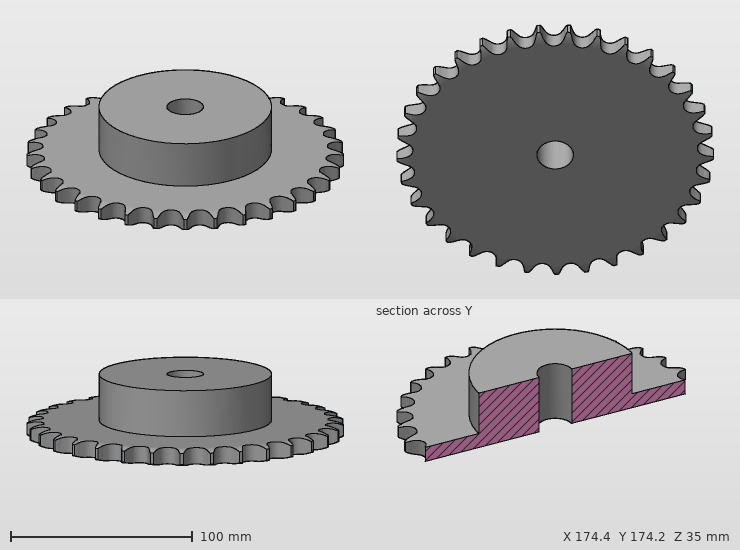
import cadquery as cq
import math


tooth_count = 33
overall_width = 174.4
total_height = 35.0
plate_thickness = 9.2
hub_diameter = 95.0
bore_diameter = 20.0

chain_pitch = 15.9
root_diameter = 156.8
seat_half_angle = 58.6

hollow_end_reach = 83.9
hollow_end_half_width = 2.1
straight_end_reach = 85.1
straight_end_half_width = 1.7
tip_half_angle = 0.55

side_round_radius = 16.0
side_round_drop = 1.5

tooth_step = 360.0 / tooth_count
pitch_radius = chain_pitch / (2 * math.sin(math.radians(tooth_step / 2)))
root_radius = root_diameter / 2
roller_seat_radius = pitch_radius - root_radius
first_tooth_angle = -90.0
tooth_to_x_axis = 90.0 % tooth_step
tooth_lean = min(tooth_to_x_axis, tooth_step - tooth_to_x_axis)
tip_radius = overall_width / 2 / math.cos(math.radians(tooth_lean - tip_half_angle))


def polar(radius, angle):
    """Point at a distance from the axis and an angle in degrees."""
    turn = math.radians(angle)
    return cq.Vector(radius * math.cos(turn), radius * math.sin(turn))


def direction(angle):
    """Unit vector at an angle in degrees."""
    return polar(1.0, angle)


def tooth_point(tooth_angle, reach, offset):
    """Point at a reach along a tooth and an offset across its centre line."""
    return polar(reach, tooth_angle) + polar(offset, tooth_angle + 90.0)


def tooth_side(tooth_angle, side):
    """Edges on one side (-1 or 1) of a tooth: seat half, hollow, straight, rounded tip side."""
    gap_angle = tooth_angle + side * tooth_step / 2
    seat_centre = polar(pitch_radius, gap_angle)
    seat_bottom = polar(root_radius, gap_angle)
    seat_end_angle = gap_angle + 180.0 + side * seat_half_angle
    seat_end = seat_centre + polar(roller_seat_radius, seat_end_angle)
    hollow_end = tooth_point(tooth_angle, hollow_end_reach, side * hollow_end_half_width)
    straight_end = tooth_point(tooth_angle, straight_end_reach, side * straight_end_half_width)
    tip_corner = polar(tip_radius, tooth_angle + side * tip_half_angle)
    return [
        cq.Edge.makeTangentArc(seat_bottom, direction(gap_angle - side * 90.0), seat_end),
        cq.Edge.makeTangentArc(seat_end, direction(seat_end_angle + side * 90.0), hollow_end),
        cq.Edge.makeLine(hollow_end, straight_end),
        cq.Edge.makeTangentArc(straight_end, straight_end - hollow_end, tip_corner),
    ]


def tooth_tip(tooth_angle):
    """Arc across the outer end of a tooth."""
    return cq.Edge.makeThreePointArc(
        polar(tip_radius, tooth_angle - tip_half_angle),
        polar(tip_radius, tooth_angle),
        polar(tip_radius, tooth_angle + tip_half_angle),
    )


def toothed_outline():
    """Closed outline of all teeth, each running from one gap bottom to the next."""
    edges = []
    for index in range(tooth_count):
        tooth_angle = first_tooth_angle + index * tooth_step
        edges += tooth_side(tooth_angle, -1)
        edges.append(tooth_tip(tooth_angle))
        edges += reversed(tooth_side(tooth_angle, 1))
    return cq.Wire.assembleEdges(edges)


def rounded_disc():
    """Turned blank whose two faces curve towards each other at the rim."""
    run = math.sqrt(side_round_radius**2 - (side_round_radius - side_round_drop) ** 2)
    flat_radius = tip_radius - run
    mid_angle = math.acos(1 - side_round_drop / side_round_radius) / 2
    mid_radius = flat_radius + side_round_radius * math.sin(mid_angle)
    mid_drop = side_round_radius * (1 - math.cos(mid_angle))
    return (
        cq.Workplane("XZ")
        .lineTo(flat_radius, 0)
        .threePointArc((mid_radius, mid_drop), (tip_radius, side_round_drop))
        .lineTo(tip_radius, plate_thickness - side_round_drop)
        .threePointArc((mid_radius, plate_thickness - mid_drop), (flat_radius, plate_thickness))
        .lineTo(0, plate_thickness)
        .close()
        .revolve(360, (0, 0, 0), (0, 1, 0))
    )


teeth = cq.Workplane("XY").add(toothed_outline()).toPending().extrude(plate_thickness, clean=False)
plate = teeth.intersect(rounded_disc(), clean=False)
hub = (
    cq.Workplane("XY", origin=(0, 0, plate_thickness))
    .circle(hub_diameter / 2)
    .extrude(total_height - plate_thickness)
)
bore = cq.Workplane("XY").circle(bore_diameter / 2).extrude(total_height)
result = plate.union(hub, clean=False).cut(bore, clean=False)